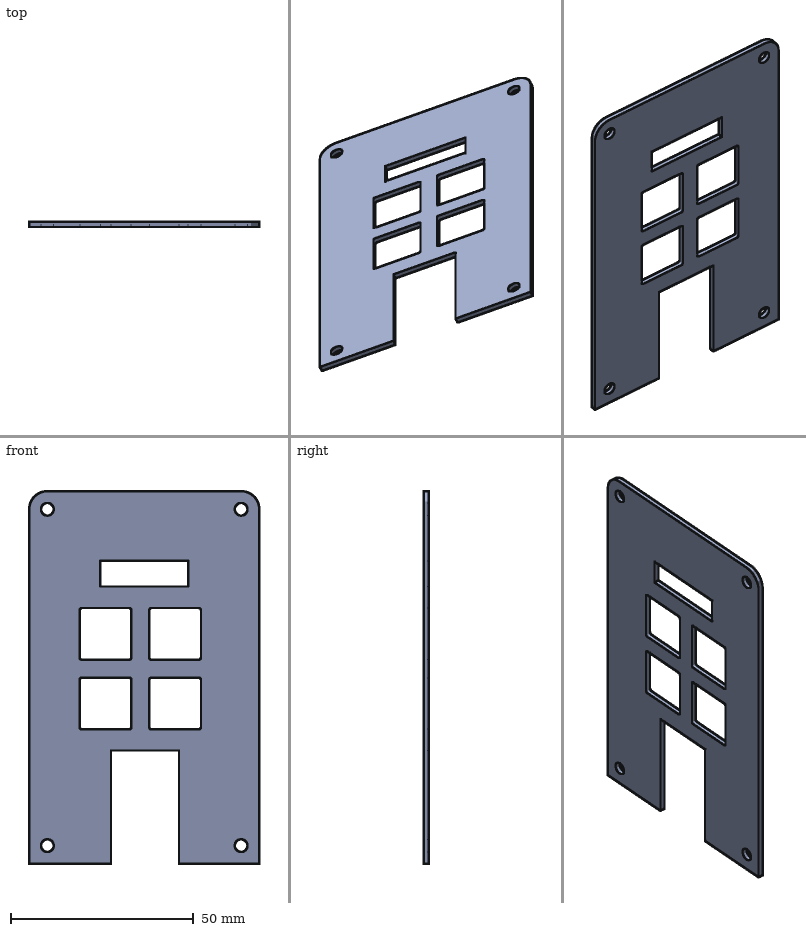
import cadquery as cq

plate_width = 63.0
plate_height = 102.0
plate_thickness = 1.5
corner_radius = 5.0

screw_diameter = 3.4
screw_inset = 5.0

window_width = 24.0
window_height = 7.0
window_left = (plate_width - window_width) / 2
window_bottom = 75.9

keys_per_side = 2
key_size = 14.05
key_pitch = 19.05
key_corner_radius = 0.5
key_grid_center_x = 30.42
key_grid_center_z = 53.4
key_grid_span = (keys_per_side - 1) * key_pitch + key_size
key_grid_left = key_grid_center_x - key_grid_span / 2
key_grid_bottom = key_grid_center_z - key_grid_span / 2

notch_width = 18.55
notch_height = 31.0
notch_left = 22.45


def block(left, bottom, width, height):
    """Rectangular block through the full plate thickness."""
    box = cq.Workplane("XY").box(width, plate_thickness, height, centered=False)
    return box.translate((left, 0, bottom))


def plate():
    """Plate with rounded top corners and square bottom corners."""
    body = block(0, 0, plate_width, plate_height)
    return body.edges("|Y and >Z").fillet(corner_radius)


def screw_holes():
    """Four cylinders that cut the screw holes."""
    x_places = (screw_inset, plate_width - screw_inset)
    z_places = (screw_inset, plate_height - screw_inset)
    centers = [(x, z) for x in x_places for z in z_places]
    return cq.Workplane("XZ").pushPoints(centers).circle(screw_diameter / 2).extrude(-plate_thickness)


def display_window():
    """Sharp-cornered cutter for the display window."""
    return block(window_left, window_bottom, window_width, window_height)


def key_opening(column, row):
    """Rounded square cutter for one key, counted from the lower left."""
    left = key_grid_left + column * key_pitch
    bottom = key_grid_bottom + row * key_pitch
    return block(left, bottom, key_size, key_size).edges("|Y").fillet(key_corner_radius)


def bottom_notch():
    """Cutter for the notch that opens at the bottom edge."""
    return block(notch_left, 0, notch_width, notch_height)


result = plate().cut(screw_holes()).cut(display_window()).cut(bottom_notch())
for column in range(keys_per_side):
    for row in range(keys_per_side):
        result = result.cut(key_opening(column, row))